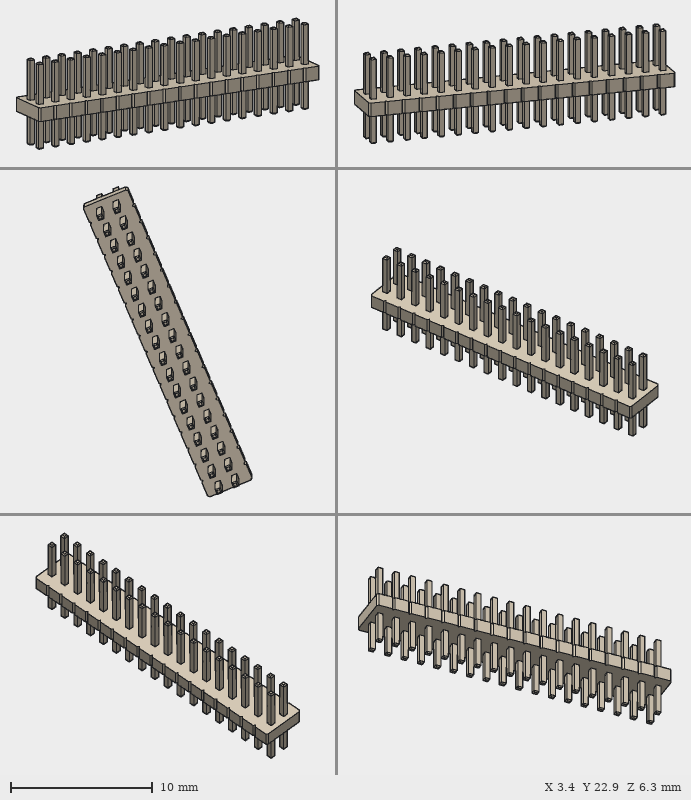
import cadquery as cq


strip_length = 22.85
strip_width = 3.4
strip_height = 1.0
row_count = 18
pitch = strip_length / row_count

bevel_depth = 0.14
bevel_length = 0.11

pin_width = 0.4
pin_above = 3.0
pin_below = 2.3
pin_tip_chamfer = 0.1
pin_length = pin_below + strip_height + pin_above


def row_y(row):
    """Y position of a row of pins, with the strip centred on the origin."""
    return (row - (row_count - 1) / 2) * pitch


def make_strip():
    """The insulator strip, with a V notch on both long sides between rows."""
    half_width = strip_width / 2
    half_pitch = pitch / 2
    notch_x = half_width - bevel_depth
    right_side = [(notch_x, -strip_length / 2)]
    for row in range(row_count):
        right_side += [
            (half_width, row_y(row) - half_pitch + bevel_length),
            (half_width, row_y(row) + half_pitch - bevel_length),
            (notch_x, row_y(row) + half_pitch),
        ]
    left_side = [(-x, -y) for x, y in right_side]
    return cq.Workplane("XY").polyline(right_side + left_side).close().extrude(strip_height)


def make_pins():
    """Square pins running through the strip, chamfered around both tips."""
    centers = [(x, row_y(row)) for x in (-pitch / 2, pitch / 2) for row in range(row_count)]
    return (
        cq.Workplane("XY", origin=(0, 0, -pin_below))
        .pushPoints(centers)
        .rect(pin_width, pin_width)
        .extrude(pin_length)
        .faces("<Z or >Z")
        .chamfer(pin_tip_chamfer)
    )


result = make_strip().union(make_pins())